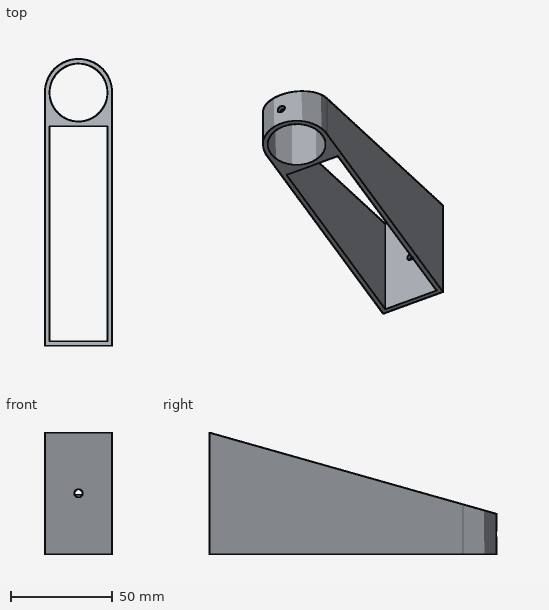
import cadquery as cq

width = 33.3
length = 141.6
front_height = 60.0
back_height = 20.0

wall = 2.4
ring_bore = 28.5
pocket_length = 106.0
screw_diameter = 4.0

outer_radius = width / 2
ring_y = length - outer_radius


def rounded_body():
    """Straight-sided block with a half-round back end, cut to a sloping top."""
    plan = (
        cq.Workplane("XY")
        .moveTo(-outer_radius, 0)
        .lineTo(outer_radius, 0)
        .lineTo(outer_radius, ring_y)
        .threePointArc((0, length), (-outer_radius, ring_y))
        .close()
        .extrude(front_height)
    )
    side_profile = (
        cq.Workplane("YZ")
        .polyline([(0, 0), (length, 0), (length, back_height), (0, front_height)])
        .close()
        .extrude(outer_radius, both=True)
    )
    return plan.intersect(side_profile)


def pocket():
    """Rectangular opening through the full height."""
    return (
        cq.Workplane("XY")
        .box(width - 2 * wall, pocket_length, front_height, centered=(True, False, False))
        .translate((0, wall, 0))
    )


def bore():
    """Round opening through the back end."""
    return cq.Workplane("XY").center(0, ring_y).circle(ring_bore / 2).extrude(front_height)


def screw_hole(start_y, height):
    """Hole along Y through an end wall, starting at start_y."""
    return (
        cq.Workplane("XZ", origin=(0, start_y, height))
        .circle(screw_diameter / 2)
        .extrude(-2 * wall)
    )


front_hole = screw_hole(0, front_height / 2)
back_hole = screw_hole(length - 2 * wall, back_height / 2)

result = rounded_body().cut(pocket()).cut(bore()).cut(front_hole).cut(back_hole)